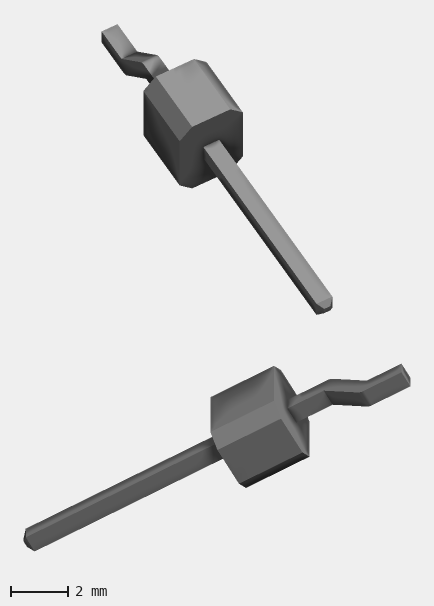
import cadquery as cq
import math

housing_length = 2.54
housing_width = 2.54
housing_height = 3.55
housing_chamfer = 0.5
housing_start_x = 4.55

total_length = 15.19
pin_thickness = 0.64
foot_top_length = 1.38
bend_angle = math.radians(45)
bend_outer_radius = 0.3
tip_chamfer = 0.2

pin_axis_z = housing_height / 2
pin_bottom_z = pin_axis_z - pin_thickness / 2
pin_top_z = pin_axis_z + pin_thickness / 2

miter_offset = pin_thickness * math.tan(bend_angle / 2)
ramp_run = pin_bottom_z / math.tan(bend_angle)
foot_outer_x = foot_top_length + miter_offset
upper_inner_x = foot_outer_x + ramp_run
upper_outer_x = upper_inner_x - miter_offset


def make_pin():
    """Square wire with two sharp inner bends, rounded outer bends and a tapered tip."""
    profile = [
        (0, 0),
        (foot_outer_x, 0),
        (upper_inner_x, pin_bottom_z),
        (total_length, pin_bottom_z),
        (total_length, pin_top_z),
        (upper_outer_x, pin_top_z),
        (foot_top_length, pin_thickness),
        (0, pin_thickness),
    ]
    wire = cq.Workplane("XZ").polyline(profile).close().extrude(pin_thickness / 2, both=True)
    for corner in [(foot_outer_x, 0, 0), (upper_outer_x, 0, pin_top_z)]:
        wire = wire.edges(cq.selectors.NearestToPointSelector(corner)).fillet(bend_outer_radius)
    return wire.faces(">X").chamfer(tip_chamfer)


def make_housing():
    """Block with chamfered long edges and a square through hole that the pin fills."""
    block = (
        cq.Workplane("YZ", origin=(housing_start_x, 0, pin_axis_z))
        .rect(housing_width, housing_height)
        .extrude(housing_length)
        .edges("|X")
        .chamfer(housing_chamfer)
    )
    pin_hole = (
        cq.Workplane("YZ", origin=(housing_start_x, 0, pin_axis_z))
        .rect(pin_thickness, pin_thickness)
        .extrude(housing_length)
    )
    return block.cut(pin_hole)


housing = make_housing()
pin = make_pin()
result = cq.Compound.makeCompound([housing.solids().val(), pin.solids().val()])